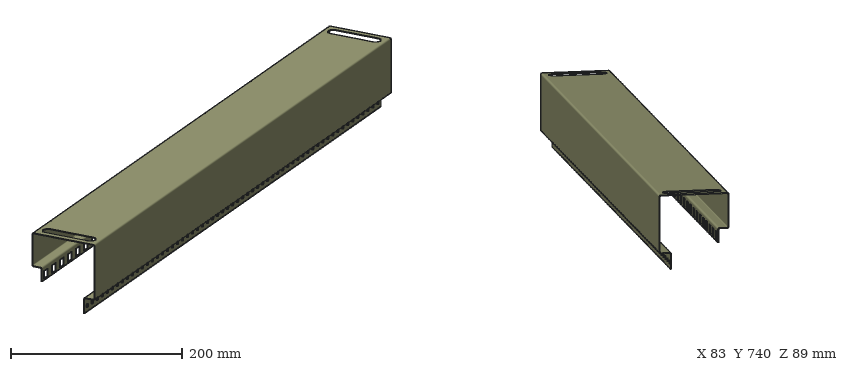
import cadquery as cq

length = 740.0
width = 83.0
height = 89.0
sheet = 1.25
bend_inner = 1.1
bend_outer = bend_inner + sheet

left_step = 13.0
left_lip_drop = 18.0
left_lip_bottom = 29.5
right_step = 15.0
right_lip_drop = 20.0
right_lip_bottom = 0.0

slot_length = 69.0
slot_width = 13.0
slot_end_offset = 14.0

square_count = 37
square_size = 9.5
square_pitch = length / square_count
square_height = 7.0

round_count = 59
round_diameter = 4.6
round_end_offset = 7.5
round_pitch = (length - 2 * round_end_offset) / (round_count - 1)
round_height = 7.5

half_width = width / 2


def side_corners(step, lip_drop, lip_bottom):
    """Outer and inner (distance from middle, z) corners of a side, top to lip end."""
    step_top = lip_bottom + lip_drop
    lip_inner = half_width - step
    outer = [
        (half_width, height),
        (half_width, step_top - sheet),
        (lip_inner + sheet, step_top - sheet),
        (lip_inner + sheet, lip_bottom),
    ]
    inner = [
        (half_width - sheet, height - sheet),
        (half_width - sheet, step_top),
        (lip_inner, step_top),
        (lip_inner, lip_bottom),
    ]
    return outer, inner


def mirrored(points):
    return [(-x, z) for x, z in points]


def bend(body, corners, radius):
    """Round the lengthwise edges that pass through the given (x, z) corners."""
    edges = [
        body.edges(cq.selectors.NearestToPointSelector((x, 0, z))).val()
        for x, z in corners
    ]
    return body.newObject([body.val().fillet(radius, edges)])


def make_channel():
    right_outer, right_inner = side_corners(right_step, right_lip_drop, right_lip_bottom)
    left_sides = side_corners(left_step, left_lip_drop, left_lip_bottom)
    left_outer, left_inner = (mirrored(side) for side in left_sides)
    outline = right_outer + right_inner[::-1] + left_inner + left_outer[::-1]
    body = cq.Workplane("XZ").polyline(outline).close().extrude(length / 2, both=True)

    for outer, inner in ((right_outer, right_inner), (left_outer, left_inner)):
        body = bend(body, [outer[0], outer[1], inner[2]], bend_outer)
        body = bend(body, [inner[0], inner[1], outer[2]], bend_inner)
    return body


def make_slots():
    slot_y = length / 2 - slot_end_offset
    return (
        cq.Workplane("XY", origin=(0, 0, height))
        .pushPoints([(0, slot_y), (0, -slot_y)])
        .slot2D(slot_length, slot_width)
        .extrude(-2 * sheet)
    )


def lip_row(lip_x, z, pitch, count):
    """Workplane on a lip with one point per hole, spread evenly about the middle."""
    plane = cq.Workplane("YZ", origin=(lip_x, 0, z))
    return plane.rarray(pitch, 7.5, count, 1)


left_lip_middle = -half_width + left_step - sheet / 2
right_lip_middle = half_width - right_step + sheet / 2
square_holes = (
    lip_row(left_lip_middle, left_lip_bottom + square_height, square_pitch, square_count)
    .rect(square_size, square_size)
    .extrude(sheet, both=True)
)
round_holes = (
    lip_row(right_lip_middle, right_lip_bottom + round_height, round_pitch, round_count)
    .circle(round_diameter / 2)
    .extrude(sheet, both=True)
)

result = make_channel().cut(make_slots()).cut(square_holes).cut(round_holes)